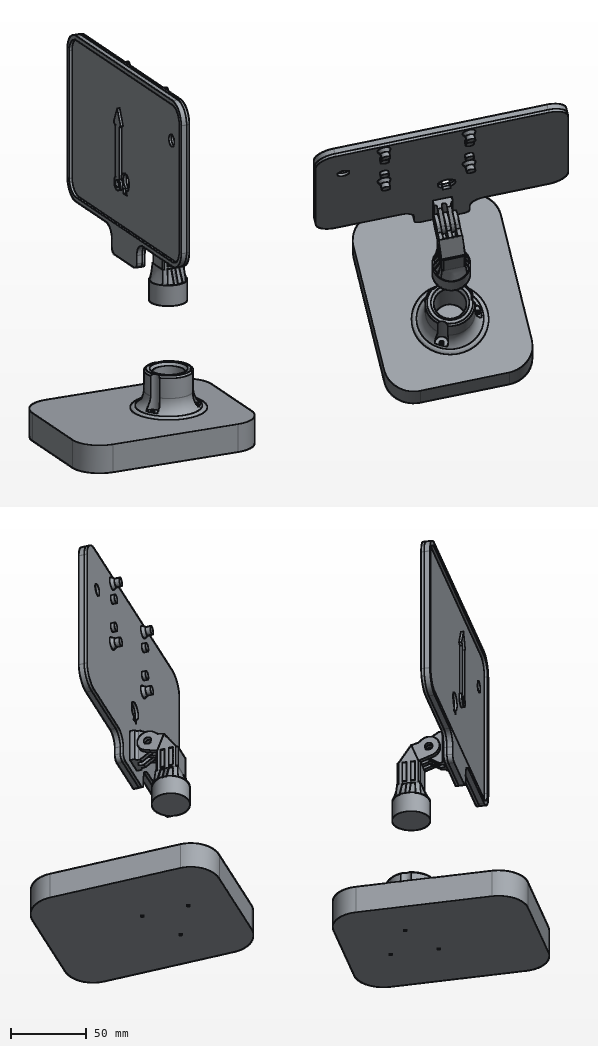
import cadquery as cq
import math

total_height = 261.5
mast_y = 20.0

base_width = 100.0
base_depth = 131.8
base_height = 19.5
base_corner = 20.0
base_x = 1.0

socket_x = 0.5
socket_top_z = 46.8
flange_diameter = 51.0
flare_foot_radius = 22.2
lip_height = 1.3
lip_bulge = 0.5
tube_radius = 16.5
flare_height = 12.0
tube_chamfer = 1.3
bore_diameter = 21.5
bore_mouth_diameter = 25.4
screw_count = 3
screw_circle_radius = 18.8
screw_diameter = 3.0
pilot_diameter = 2.0
screw_head_diameter = 9.0
screw_seat_height = 2.4
first_screw_angle = 60

sign_width = 171.0
sign_height = 116.0
sign_corner = 13.3
tab_width = 37.7
tab_drop = 18.8
tab_fillet = 9.0
tab_corner = 4.2
back_thickness = 2.0
front_thickness = 4.0
rim_width = 3.1
recess_depth = 2.0
sign_back_y = -6.5
sign_bottom_z = total_height - sign_height
layer_y = sign_back_y - back_thickness
sign_front_y = layer_y - front_thickness

hanging_hole_diameter = 8.0
hanging_hole_x = 66.7
hanging_hole_z = 231.5
keyhole_diameter = 12.0
keyhole_slot_width = 5.2
keyhole_slot_reach = 8.5

peg_middle_x = 10.5
peg_middle_z = 231.0
peg_half_span_x = 28.8
long_peg_half_span_z = 24.5
short_peg_half_span_z = 11.5
peg_diameter = 6.0
peg_foot_diameter = 9.0
long_peg_length = 6.0
short_peg_length = 2.5

arrow_x = -3.1
arrow_pivot_z = 180.5
arrow_length = 52.5
arrow_head_length = 11.0
arrow_barb_length = 1.5
arrow_head_width = 10.5
arrow_shaft_width = 6.0
arrow_eye_diameter = 9.5
arrow_hole_diameter = 5.0
arrow_thickness = 1.8
arrow_gap = 1.8

hinge_x = -0.3
pin_y = 6.3
pin_z = sign_bottom_z
pin_hole_diameter = 5.2
finger_gap = 3.5
middle_finger = 3.0

clevis_foot_width = 12.8
clevis_foot_height = 23.8
clevis_foot_thickness = 3.5
clevis_fillet = 1.7
clevis_finger_span = 9.5
clevis_tip_radius = 6.5
clevis_shoulder_y = 0.0

ring_diameter = 25.4
ring_bottom_z = 94.5
ring_height = 14.5
cone_foot_diameter = 24.5
cone_height = 10.2
neck_width = 16.0
neck_depth = 15.5
neck_height = 16.2
neck_edge = 1.0
finger_span = 15.5
finger_tip_radius = 7.3
groove_width = 3.0
groove_offset = 3.0
groove_depth = 0.8
groove_height = 14.5
groove_foot_y = 5.5
ring_top_z = ring_bottom_z + ring_height
neck_bottom_z = ring_top_z + cone_height
neck_top_z = neck_bottom_z + neck_height
elbow_inset = 1.0
elbow_back = (mast_y + neck_depth / 2 - elbow_inset, neck_top_z)
elbow_front = (mast_y - neck_depth / 2 + elbow_inset, neck_top_z)
elbow_peak = (18.0, 147.8)
finger_shoulder = (13.3, 149.0)


def tangent_point(corner, radius, side):
    """Point where a line from `corner` touches a circle about the hinge axis; side is 1 or -1."""
    dy = corner[0] - pin_y
    dz = corner[1] - pin_z
    angle = math.atan2(dz, dy) + side * math.acos(radius / math.hypot(dy, dz))
    return (pin_y + radius * math.cos(angle), pin_z + radius * math.sin(angle))


def box(x_range, y_range, z_range):
    """Box between the given limits."""
    size = [r[1] - r[0] for r in (x_range, y_range, z_range)]
    return cq.Workplane("XY").box(*size, centered=False).translate((x_range[0], y_range[0], z_range[0]))


def y_cylinder(x, z, diameter, y_start, length):
    """Cylinder along Y from y_start; a positive length runs towards +Y."""
    circle = cq.Workplane("XZ", origin=(x, y_start, z)).circle(diameter / 2)
    return circle.extrude(-length)


def pin_hole():
    return (
        cq.Workplane("YZ", origin=(0, pin_y, pin_z))
        .circle(pin_hole_diameter / 2)
        .extrude(neck_width, both=True)
    )


def at_screws(height):
    """Workplane at `height` with one point on each screw axis."""
    return cq.Workplane("XY", origin=(socket_x, mast_y, height)).polarArray(
        screw_circle_radius, first_screw_angle, 360, screw_count
    )


def make_base():
    slab = (
        cq.Workplane("XY", origin=(base_x, 0, 0))
        .rect(base_width, base_depth)
        .extrude(base_height)
        .edges("|Z")
        .fillet(base_corner)
    )
    return slab.cut(at_screws(0).circle(pilot_diameter / 2).extrude(base_height))


def make_socket():
    """Flanged tube with a concave flare, a countersunk bore and three screw seats."""
    tube_height = socket_top_z - base_height
    bore_radius = bore_diameter / 2
    mouth_radius = bore_mouth_diameter / 2
    flare_radius = math.hypot(flare_foot_radius - tube_radius, flare_height - lip_height) ** 2 / (
        2 * (flare_foot_radius - tube_radius)
    )
    flare_middle_angle = math.asin((flare_height - lip_height) / flare_radius) / 2
    flare_middle = (
        tube_radius + flare_radius * (1 - math.cos(flare_middle_angle)),
        flare_height - flare_radius * math.sin(flare_middle_angle),
    )
    body = (
        cq.Workplane("XZ")
        .moveTo(bore_radius, 0)
        .lineTo(flange_diameter / 2, 0)
        .sagittaArc((flare_foot_radius, lip_height), -lip_bulge)
        .threePointArc(flare_middle, (tube_radius, flare_height))
        .lineTo(tube_radius, tube_height - tube_chamfer)
        .lineTo(tube_radius - tube_chamfer, tube_height)
        .lineTo(mouth_radius, tube_height)
        .lineTo(bore_radius, tube_height - (mouth_radius - bore_radius))
        .close()
        .revolve(360, (0, 0, 0), (0, 1, 0))
        .translate((socket_x, mast_y, base_height))
    )
    seat_z = base_height + screw_seat_height
    body = body.cut(at_screws(seat_z).circle(screw_head_diameter / 2).extrude(tube_height))
    return body.cut(at_screws(base_height).circle(screw_diameter / 2).extrude(tube_height))


def sign_layer(y_back, thickness):
    """One layer of the sign: rounded panel, tab with filleted root, and the holes through both."""
    tab_bottom_z = sign_bottom_z - tab_drop
    y_range = (y_back - thickness, y_back)
    panel = box((-sign_width / 2, sign_width / 2), y_range, (sign_bottom_z, total_height))
    panel = panel.edges("|Y").fillet(sign_corner)
    tab = box((-tab_width / 2, tab_width / 2), y_range, (tab_bottom_z, sign_bottom_z + sign_corner))
    tab = tab.edges("|Y and <Z").fillet(tab_corner)
    layer = panel.union(tab)
    margin = 0.3
    root_edges = cq.selectors.BoxSelector(
        (-tab_width / 2 - margin, y_back - thickness - margin, sign_bottom_z - margin),
        (tab_width / 2 + margin, y_back + margin, sign_bottom_z + margin),
    )
    layer = layer.edges("|Y").edges(root_edges).fillet(tab_fillet)
    layer = layer.cut(y_cylinder(hanging_hole_x, hanging_hole_z, hanging_hole_diameter, y_back, -thickness))
    layer = layer.cut(y_cylinder(arrow_x, arrow_pivot_z, keyhole_diameter, y_back, -thickness))
    keyhole_slot = box(
        (arrow_x - keyhole_slot_width / 2, arrow_x + keyhole_slot_width / 2),
        y_range,
        (arrow_pivot_z - keyhole_slot_reach, arrow_pivot_z),
    )
    return layer.cut(keyhole_slot)


def make_front_plate():
    recess = box(
        (-sign_width / 2 + rim_width, sign_width / 2 - rim_width),
        (sign_front_y, sign_front_y + recess_depth),
        (sign_bottom_z + rim_width, total_height - rim_width),
    )
    recess = recess.edges("|Y").fillet(sign_corner - rim_width)
    return sign_layer(layer_y, front_thickness).cut(recess)


def make_back_plate():
    """Plain plate with four long pegs on conical feet and four short pegs."""
    plate = sign_layer(sign_back_y, back_thickness)
    for x_side in (-1, 1):
        x = peg_middle_x + x_side * peg_half_span_x
        for z_side in (-1, 1):
            long_z = peg_middle_z + z_side * long_peg_half_span_z
            short_z = peg_middle_z + z_side * short_peg_half_span_z
            foot = cq.Solid.makeCone(
                peg_foot_diameter / 2,
                peg_diameter / 2,
                short_peg_length,
                pnt=cq.Vector(x, sign_back_y, long_z),
                dir=cq.Vector(0, 1, 0),
            )
            plate = plate.union(cq.Workplane(foot))
            plate = plate.union(y_cylinder(x, long_z, peg_diameter, sign_back_y, long_peg_length))
            plate = plate.union(y_cylinder(x, short_z, peg_diameter, sign_back_y, short_peg_length))
    return plate


def make_arrow():
    back_y = sign_front_y - arrow_gap
    barb_z = arrow_length - arrow_head_length
    shaft_top = barb_z - arrow_barb_length
    half_shaft = arrow_shaft_width / 2
    half_head = arrow_head_width / 2
    pointer = (
        cq.Workplane("XZ", origin=(arrow_x, back_y, arrow_pivot_z))
        .moveTo(-half_shaft, 0)
        .lineTo(-half_shaft, shaft_top)
        .lineTo(-half_head, barb_z)
        .lineTo(0, arrow_length)
        .lineTo(half_head, barb_z)
        .lineTo(half_shaft, shaft_top)
        .lineTo(half_shaft, 0)
        .close()
        .extrude(arrow_thickness)
    )
    pointer = pointer.union(y_cylinder(arrow_x, arrow_pivot_z, arrow_eye_diameter, back_y, -arrow_thickness))
    return pointer.cut(y_cylinder(arrow_x, arrow_pivot_z, arrow_hole_diameter, back_y, -arrow_thickness))


def make_clevis():
    """Filleted foot with two fingers: a section along Z trimmed to a YZ outline."""
    foot_top_y = sign_back_y + clevis_foot_thickness
    half_span = clevis_finger_span / 2
    half_foot = clevis_foot_width / 2
    half_height = clevis_foot_height / 2
    tip_y = pin_y + clevis_tip_radius
    section = (
        cq.Workplane("XY", origin=(0, 0, pin_z - half_height))
        .moveTo(-half_foot, sign_back_y)
        .lineTo(half_foot, sign_back_y)
        .lineTo(half_foot, foot_top_y)
        .radiusArc((half_span, foot_top_y + clevis_fillet), clevis_fillet)
        .lineTo(half_span, tip_y)
        .lineTo(-half_span, tip_y)
        .lineTo(-half_span, foot_top_y + clevis_fillet)
        .radiusArc((-half_foot, foot_top_y), clevis_fillet)
        .close()
        .extrude(clevis_foot_height)
    )
    upper = (clevis_shoulder_y, pin_z + half_height)
    lower = (clevis_shoulder_y, pin_z - half_height)
    outline = (
        cq.Workplane("YZ", origin=(-half_foot, 0, 0))
        .moveTo(sign_back_y, lower[1])
        .lineTo(*lower)
        .lineTo(*tangent_point(lower, clevis_tip_radius, 1))
        .threePointArc((tip_y, pin_z), tangent_point(upper, clevis_tip_radius, -1))
        .lineTo(*upper)
        .lineTo(sign_back_y, upper[1])
        .close()
        .extrude(clevis_foot_width)
    )
    half_gap = finger_gap / 2
    round_y = foot_top_y + half_gap
    gap = (
        cq.Workplane("XY", origin=(0, 0, pin_z - half_height))
        .moveTo(-half_gap, tip_y)
        .lineTo(-half_gap, round_y)
        .threePointArc((0, foot_top_y), (half_gap, round_y))
        .lineTo(half_gap, tip_y)
        .close()
        .extrude(clevis_foot_height)
    )
    return section.intersect(outline).cut(gap).cut(pin_hole()).translate((hinge_x, 0, 0))


def swivel_head():
    """Elbow and three hinge fingers, one outline in YZ with two slots between the fingers."""
    outline = (
        cq.Workplane("YZ", origin=(-finger_span / 2, 0, 0))
        .moveTo(*elbow_back)
        .lineTo(*elbow_peak)
        .lineTo(*finger_shoulder)
        .lineTo(*tangent_point(finger_shoulder, finger_tip_radius, 1))
        .threePointArc((pin_y - finger_tip_radius, pin_z), tangent_point(elbow_front, finger_tip_radius, -1))
        .lineTo(*elbow_front)
        .close()
        .extrude(finger_span)
    )
    elbow = (
        cq.Workplane("YZ", origin=(-neck_width / 2, 0, 0))
        .polyline([elbow_back, elbow_peak, elbow_front])
        .close()
        .extrude(neck_width)
    )
    head = outline.union(elbow)
    slot_reach = pin_y - finger_tip_radius
    for slot_x in (middle_finger / 2, -middle_finger / 2 - finger_gap):
        slot = (
            cq.Workplane("YZ", origin=(slot_x, 0, 0))
            .polyline(
                [
                    elbow_peak,
                    elbow_front,
                    (elbow_front[0], neck_bottom_z),
                    (slot_reach, neck_bottom_z),
                    (slot_reach, total_height),
                    (elbow_peak[0], total_height),
                ]
            )
            .close()
            .extrude(finger_gap)
        )
        head = head.cut(slot)
    return head.cut(pin_hole())


def swivel_neck():
    """Rectangular neck with chamfered edges and two grooves on each X side."""
    neck = cq.Workplane("XY", origin=(0, mast_y, neck_bottom_z)).rect(neck_width, neck_depth)
    neck = neck.extrude(neck_height).edges("|Z").chamfer(neck_edge)
    for x_side in (-1, 1):
        for y_side in (-1, 1):
            groove_middle = (
                x_side * neck_width / 2,
                mast_y + y_side * groove_offset,
                neck_top_z - groove_height / 2,
            )
            groove = cq.Workplane("XY").box(2 * groove_depth, groove_width, groove_height)
            neck = neck.cut(groove.translate(groove_middle))
    return neck


def cone_groove(x_side, y_side):
    """Cutter for one groove down an X side of the cone, widening towards its foot."""
    foot_radius = cone_foot_diameter / 2
    inner_y = groove_offset - groove_width / 2
    outer_y = groove_offset + groove_width / 2
    foot_inner_x = math.sqrt(foot_radius**2 - inner_y**2) - groove_depth
    foot_outer_x = math.sqrt(foot_radius**2 - groove_foot_y**2) - groove_depth
    top_x = neck_width / 2 - groove_depth
    foot_corners = [
        (foot_inner_x, inner_y),
        (foot_radius, inner_y),
        (foot_radius, groove_foot_y),
        (foot_outer_x, groove_foot_y),
    ]
    top_corners = [
        (top_x, inner_y),
        (neck_width / 2, inner_y),
        (neck_width / 2, outer_y),
        (top_x, outer_y),
    ]
    return (
        cq.Workplane("XY", origin=(0, mast_y, ring_top_z))
        .polyline([(x_side * x, y_side * y) for x, y in foot_corners])
        .close()
        .workplane(offset=cone_height)
        .polyline([(x_side * x, y_side * y) for x, y in top_corners])
        .close()
        .loft(ruled=True)
    )


def make_swivel():
    """Round ring, cone blending into the rectangular neck, and the hinged head."""
    ring = cq.Workplane("XY", origin=(0, mast_y, ring_bottom_z))
    ring = ring.circle(ring_diameter / 2).extrude(ring_height)
    cone = (
        cq.Workplane("XY", origin=(0, mast_y, ring_top_z))
        .circle(cone_foot_diameter / 2)
        .workplane(offset=cone_height)
        .rect(neck_width, neck_depth)
        .loft(ruled=True)
    )
    for x_side in (-1, 1):
        for y_side in (-1, 1):
            cone = cone.cut(cone_groove(x_side, y_side))
    swivel = ring.union(cone).union(swivel_neck()).union(swivel_head())
    return swivel.translate((hinge_x, 0, 0))


base = make_base()
socket = make_socket()
front_plate = make_front_plate()
back_plate = make_back_plate()
arrow = make_arrow()
clevis = make_clevis()
swivel = make_swivel()

result = cq.Compound.makeCompound(
    [
        base.val(),
        socket.val(),
        swivel.val(),
        clevis.val(),
        back_plate.val(),
        front_plate.val(),
        arrow.val(),
    ]
)